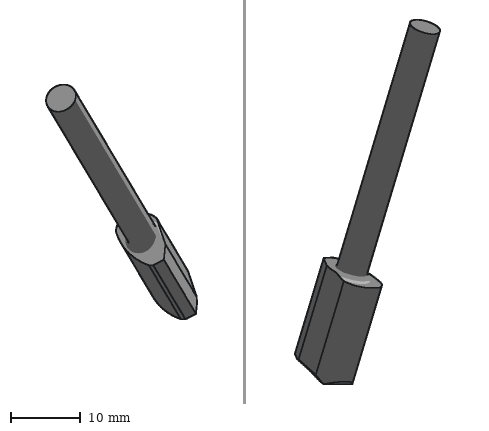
import cadquery as cq
import math

lean_angle = 18.0

shaft_diameter = 4.5
shaft_length = 39.85
shaft_radius = shaft_diameter / 2
root_fillet = 0.95

head_length = 16.0
head_left = -4.4
head_right = 5.1
head_back = 2.65
head_front = -3.55
back_flat_left = -2.3
back_flat_right = 2.5

left_bend = (-3.85, 1.25)
left_wall_back = -1.0
left_bow = 0.15
front_corner_radius = 1.85

right_front_corner = (4.85, -0.6)
right_ridge_y = 0.0
right_back_corner = (4.95, 1.7)

tip_bevel = 0.8
tip_step = 0.5
tip_step_left = -2.45
tip_step_right = -0.35


def head_prism(bottom, top):
    """Prism with the head's outline: flats behind, rounded left side, bowed front, blunt right ridge."""
    return (
        cq.Workplane("XY", origin=(0, 0, bottom))
        .moveTo(back_flat_right, head_back)
        .lineTo(back_flat_left, head_back)
        .sagittaArc(left_bend, -left_bow)
        .sagittaArc((head_left, left_wall_back), -left_bow)
        .lineTo(head_left, head_front + front_corner_radius)
        .tangentArcPoint((head_left + front_corner_radius, head_front), relative=False)
        .tangentArcPoint(right_front_corner, relative=False)
        .lineTo(head_right, right_ridge_y)
        .lineTo(*right_back_corner)
        .close()
        .extrude(top - bottom)
    )


def tip_envelope():
    """Solid whose underside is the worn tip: bevelled behind and on the left, stepped up on the right."""
    side = (
        cq.Workplane("YZ", origin=(head_left, 0, 0))
        .moveTo(head_back, 0)
        .lineTo(head_back, -head_length + tip_bevel)
        .lineTo(head_back - tip_bevel, -head_length)
        .lineTo(head_front, -head_length)
        .lineTo(head_front, 0)
        .close()
        .extrude(head_right - head_left)
    )
    across = (
        cq.Workplane("XZ", origin=(0, head_back, 0))
        .moveTo(head_left, 0)
        .lineTo(head_left, -head_length + tip_bevel)
        .lineTo(head_left + tip_bevel, -head_length)
        .lineTo(tip_step_left, -head_length)
        .lineTo(tip_step_right, -head_length + tip_step)
        .lineTo(head_right, -head_length + tip_step)
        .lineTo(head_right, 0)
        .close()
        .extrude(head_back - head_front)
    )
    return side.intersect(across)


def head():
    return head_prism(-head_length, 0).intersect(tip_envelope())


def shaft():
    """Round shaft whose root flares out to the head through a concave fillet."""
    flare_radius = shaft_radius + root_fillet
    arc_offset = root_fillet * (1 - math.sqrt(0.5))
    flared = (
        cq.Workplane("XZ")
        .lineTo(flare_radius, 0)
        .threePointArc((shaft_radius + arc_offset, arc_offset), (shaft_radius, root_fillet))
        .lineTo(shaft_radius, shaft_length)
        .lineTo(0, shaft_length)
        .close()
        .revolve(360, (0, 0, 0), (0, 1, 0))
    )
    return flared.intersect(head_prism(0, shaft_length))


result = head().union(shaft()).rotate((0, 0, 0), (1, 0, 0), lean_angle)